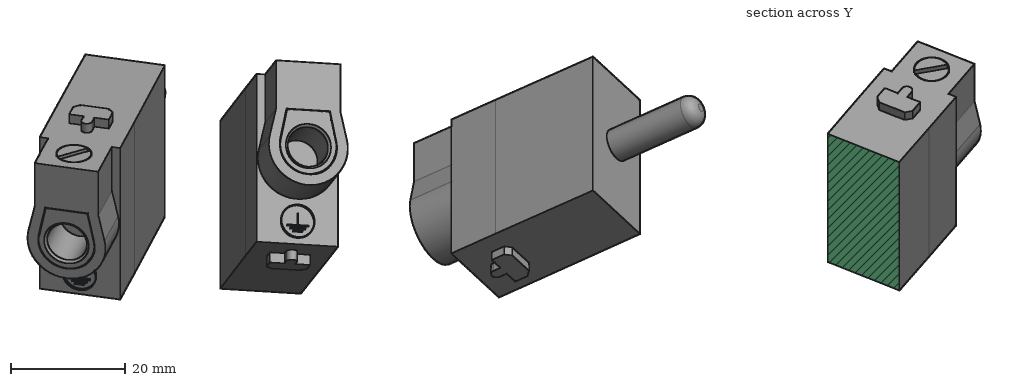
import cadquery as cq
import math

total_length = 57.0
body_width = 14.6
total_height = 34.2
tab_height = 1.8
body_height = total_height - 2 * tab_height
rear_width = 14.4
nose_length = 9.0
taper_start = 18.4
pin_length = 17.9
body_back = total_length - pin_length

pin_diameter = 6.0
pin_tip_radius = 2.3

nose_radius = 7.05
nose_neck_half_width = 5.75
nose_neck_bottom = 6.55

bore_diameter = 7.2
bore_depth = nose_length
bore_mouth_diameter = 8.1
bore_chamfer = (bore_mouth_diameter - bore_diameter) / 2
seam_radius = 5.15
seam_half_width = 3.9
seam_top = 6.6
seam_gap = 0.1
seam_depth = 0.55

screw_from_front = 5.0
screw_diameter = 6.0
screw_hole_diameter = 6.2
screw_slot_width = 0.95
screw_slot_depth = 1.6
screw_slot_angle = 45.0

tab_half_width = 3.6
tab_back = 18.7
tab_shoulder = 15.05
tab_corner = 1.0
tab_stem_radius = 0.95
tab_stem_tip = 12.6

symbol_z = -11.2
symbol_height = 0.5
symbol_ring_diameter = 6.0
symbol_ring_bore = 5.85
symbol_line = 0.1
symbol_stem_top = 1.35
symbol_bar_top = -0.8
symbol_bar_pitch = 0.5
symbol_bar_lengths = (3.75, 2.75, 1.7)


def front_plane(y):
    """Sketch plane across the part at y: local x = X, local y = Z, extrudes toward -Y."""
    return cq.Workplane("XZ", origin=(0, y, 0))


def bulb_outline(y, half_width, corner_z, top_z, radius):
    """Closed outline: flat top, straight sides to corner_z, then tangent flanks onto a round bottom."""
    corner_angle = math.atan2(corner_z, half_width)
    tangent_angle = corner_angle - math.acos(radius / math.hypot(half_width, corner_z))
    tangent_x = radius * math.cos(tangent_angle)
    tangent_z = radius * math.sin(tangent_angle)
    outline = front_plane(y).moveTo(-half_width, corner_z)
    if top_z > corner_z:
        outline = outline.lineTo(-half_width, top_z).lineTo(half_width, top_z)
    return (
        outline.lineTo(half_width, corner_z)
        .lineTo(tangent_x, tangent_z)
        .threePointArc((0, -radius), (-tangent_x, tangent_z))
        .close()
    )


def make_body():
    """Block whose rear part narrows slightly toward the back."""
    outline = [
        (body_width / 2, nose_length),
        (body_width / 2, taper_start),
        (rear_width / 2, body_back),
        (-rear_width / 2, body_back),
        (-body_width / 2, taper_start),
        (-body_width / 2, nose_length),
    ]
    return (
        cq.Workplane("XY", origin=(0, 0, -body_height / 2))
        .polyline(outline).close().extrude(body_height)
    )


def make_nose():
    nose_top = body_height / 2
    outline = bulb_outline(nose_length, nose_neck_half_width, nose_neck_bottom, nose_top, nose_radius)
    return outline.extrude(nose_length)


def make_pin():
    pin = front_plane(body_back).circle(pin_diameter / 2).extrude(-pin_length)
    return pin.faces(">Y").edges().fillet(pin_tip_radius)


def make_tab(base_z):
    """T-shaped tab: chamfered head with a round-ended stem pointing forward."""
    stem_end = tab_stem_tip + tab_stem_radius
    return (
        cq.Workplane("XY", origin=(0, 0, base_z))
        .moveTo(-tab_half_width + tab_corner, tab_back)
        .lineTo(tab_half_width - tab_corner, tab_back)
        .lineTo(tab_half_width, tab_back - tab_corner)
        .lineTo(tab_half_width, tab_shoulder)
        .lineTo(tab_stem_radius, tab_shoulder)
        .lineTo(tab_stem_radius, stem_end)
        .threePointArc((0, tab_stem_tip), (-tab_stem_radius, stem_end))
        .lineTo(-tab_stem_radius, tab_shoulder)
        .lineTo(-tab_half_width, tab_shoulder)
        .lineTo(-tab_half_width, tab_back - tab_corner)
        .close()
        .extrude(tab_height)
    )


def make_earth_symbol():
    """Thin ring around a stem standing on three bars of decreasing length."""
    base = cq.Workplane("XZ", origin=(0, nose_length, symbol_z))
    symbol = base.circle(symbol_ring_diameter / 2).circle(symbol_ring_bore / 2).extrude(symbol_height)
    stem_length = symbol_stem_top - symbol_bar_top
    stem = base.center(0, symbol_bar_top + stem_length / 2).rect(symbol_line, stem_length)
    symbol = symbol.union(stem.extrude(symbol_height))
    for index, length in enumerate(symbol_bar_lengths):
        bar_z = symbol_bar_top - index * symbol_bar_pitch
        bar = base.center(0, bar_z).rect(length, symbol_line).extrude(symbol_height)
        symbol = symbol.union(bar)
    return symbol


def make_bore():
    """Blind round bore with a chamfered mouth."""
    profile = [
        (0, 0),
        (bore_mouth_diameter / 2, 0),
        (bore_diameter / 2, bore_chamfer),
        (bore_diameter / 2, bore_depth),
        (0, bore_depth),
    ]
    return cq.Workplane("XY").polyline(profile).close().revolve(360, (0, 0, 0), (0, 1, 0))


def make_seam():
    """Narrow groove around the cable entry."""
    outline = bulb_outline(seam_depth, seam_half_width, seam_top, seam_top, seam_radius)
    outer = outline.extrude(seam_depth)
    inner = outer.faces("<Y").wires().toPending().offset2D(-seam_gap).extrude(-seam_depth, combine=False)
    return outer.cut(inner)


def make_screw_cut():
    """Clearance ring around the screw head plus its diagonal driver slot."""
    top = cq.Workplane("XY", origin=(0, screw_from_front, body_height / 2))
    ring = top.circle(screw_hole_diameter / 2).circle(screw_diameter / 2).extrude(-screw_slot_depth)
    slot = (
        top.transformed(rotate=(0, 0, screw_slot_angle))
        .rect(screw_hole_diameter, screw_slot_width)
        .extrude(-screw_slot_depth)
    )
    head = top.circle(screw_hole_diameter / 2).extrude(-screw_slot_depth)
    return ring.union(slot.intersect(head))


result = make_body().union(make_nose()).union(make_pin())
for tab_base in (body_height / 2, -body_height / 2 - tab_height):
    result = result.union(make_tab(tab_base))
result = result.union(make_earth_symbol())
result = result.cut(make_bore()).cut(make_seam()).cut(make_screw_cut())